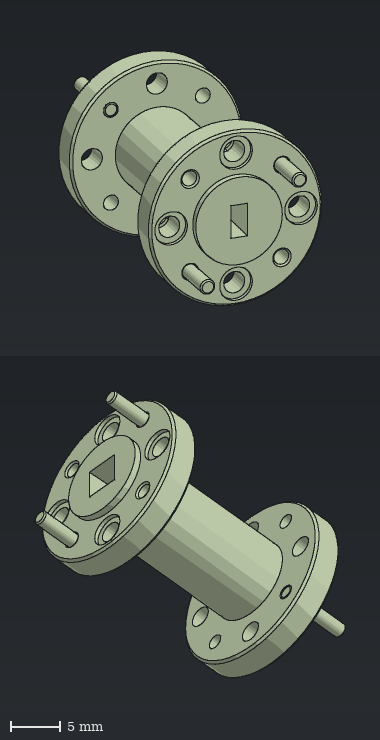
import cadquery as cq
import math

overall_length = 33.15
boss_span = 25.4
flange_span = 23.85
flange_thickness = 3.28
flange_diameter = 19.05
flange_chamfer = 0.25
boss_diameter = 9.5
tube_diameter = 9.15

bolt_circle_radius = 14.3 / 2
screw_hole_diameter = 2.3
counterbore_diameter = 3.58
counterbore_depth = 0.45
clearance_hole_diameter = 1.62
clearance_hole_chamfer = 0.2

pin_diameter = 1.6
pin_chamfer = 0.15
pin_seat_chamfer = 0.115

passage_height = 3.55
square_end_width = passage_height
slot_end_width = 1.82

boss_end = boss_span / 2
flange_outer = flange_span / 2
flange_inner = flange_outer - flange_thickness
pin_end = overall_length / 2

ENDS = (-1, 1)
SCREW_ANGLES = (0, 90, 180, 270)
PIN_ANGLES = {-1: (135, 315), 1: (45, 225)}
CLEARANCE_ANGLES = {end: PIN_ANGLES[-end] for end in ENDS}


def cylinder_x(diameter, x_start, x_end, angle=None):
    """Cylinder along X, on the axis or at an angle on the bolt circle."""
    radius = 0 if angle is None else bolt_circle_radius
    turn = math.radians(angle or 0)
    return (
        cq.Workplane("YZ", origin=(min(x_start, x_end), 0, 0))
        .center(radius * math.cos(turn), radius * math.sin(turn))
        .circle(diameter / 2)
        .extrude(abs(x_end - x_start))
    )


def chamfered_hole(diameter, chamfer, end, angle):
    """Cutter for a hole through one flange, countersunk at the flange's outer face."""
    hole = cylinder_x(diameter, end * flange_inner, end * flange_outer, angle)
    turn = math.radians(angle)
    mouth = cq.Vector(
        end * flange_outer,
        bolt_circle_radius * math.cos(turn),
        bolt_circle_radius * math.sin(turn),
    )
    countersink = cq.Solid.makeCone(
        diameter / 2 + chamfer, diameter / 2, chamfer, pnt=mouth, dir=cq.Vector(-end, 0, 0)
    )
    return hole.union(cq.Workplane(countersink))


def screw_hole(end, angle):
    """Cutter for a screw hole through one flange, counterbored at its outer face."""
    hole = cylinder_x(screw_hole_diameter, end * flange_inner, end * flange_outer, angle)
    floor = flange_outer - counterbore_depth
    counterbore = cylinder_x(counterbore_diameter, end * floor, end * flange_outer, angle)
    return hole.union(counterbore)


def make_passage():
    """Cutter for the tapered waveguide passage from boss face to boss face."""
    return (
        cq.Workplane("YZ", origin=(-boss_end, 0, 0))
        .rect(square_end_width, passage_height)
        .workplane(offset=boss_span)
        .rect(slot_end_width, passage_height)
        .loft(ruled=True)
    )


def make_housing():
    """Tube with a flange and a raised boss at each end."""
    body = cylinder_x(tube_diameter, -flange_inner, flange_inner)
    for end in ENDS:
        flange = cylinder_x(flange_diameter, end * flange_inner, end * flange_outer)
        body = body.union(flange.edges().chamfer(flange_chamfer))
        body = body.union(cylinder_x(boss_diameter, end * flange_inner, end * boss_end))
    body = body.cut(make_passage())
    for end in ENDS:
        for angle in SCREW_ANGLES:
            body = body.cut(screw_hole(end, angle))
        for angle in CLEARANCE_ANGLES[end]:
            body = body.cut(chamfered_hole(clearance_hole_diameter, clearance_hole_chamfer, end, angle))
        for angle in PIN_ANGLES[end]:
            body = body.cut(chamfered_hole(pin_diameter, pin_seat_chamfer, end, angle))
    return body


def make_pin(end, angle):
    """Dowel pin flush with the flange's inner face, chamfered at both ends."""
    pin = cylinder_x(pin_diameter, end * flange_inner, end * pin_end, angle)
    return pin.edges().chamfer(pin_chamfer)


housing = make_housing()
pins = [make_pin(end, angle) for end in ENDS for angle in PIN_ANGLES[end]]

result = cq.Compound.makeCompound([housing.val(), *[pin.val() for pin in pins]])